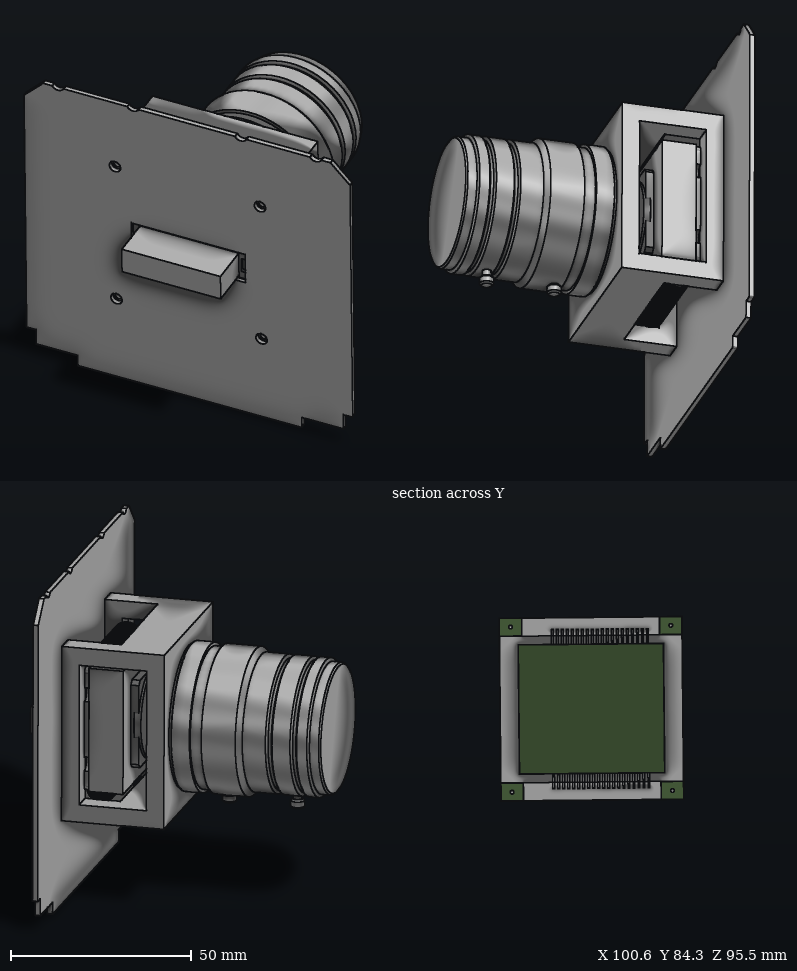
import cadquery as cq
import math

TILT = -0.58

PLATE_THICKNESS = 1.5
PLATE_HALF_WIDTH = 49.9
PLATE_TOP = 44.9
PLATE_BOTTOM = -49.8
TOP_CHAMFER = 5.9
SHOULDER_Z = -41.4
SHOULDER_HALF_WIDTH = 47.0
TAB_Z = -46.3
TAB_HALF_WIDTH = 34.3
PLATE_CORNER_RADIUS = 0.4
EDGE_NOTCH_DIAMETER = 4.0
EDGE_NOTCH_RISE = 1.0
EDGE_NOTCH_X = (-39.4, -16.5, 16.5, 39.4)
WINDOW_WIDTH = 34.9
WINDOW_HEIGHT = 9.8

SCREW_SPACING_X = 44.4
SCREW_SPACING_Z = 45.7
CLEARANCE_DIAMETER = 3.4
TAPPED_DIAMETER = 2.1
TAPPED_DEPTH = 8.0
DRILL_POINT_ANGLE = 118

HOUSING_SIDE = 50.6
HOUSING_LENGTH = 29.4
WALL = 5.0
REAR_SLOT_WIDTH = 38.0
REAR_SLOT_DEPTH = 15.2

NECK_DIAMETER = 40.8
LARGE_DIAMETER = 42.0
WAIST_DIAMETER = 39.9
BARREL_DIAMETER = 39.0
GROOVE_DIAMETER = 37.0
LENS_LENGTH = 43.0
LENS_END_CHAMFER = 0.5
NECK_END = 0.8
WAIST_START = 6.0
WAIST_END = 9.5
CONE_START = 19.2
CONE_END = 20.8
GROOVE_STARTS = (27.5, 34.5)
GROOVE_FLOOR = 0.9
GROOVE_SLOPE = 0.5
RIM_START = 39.3

THUMB_SCREW_Y = (41.3, 60.8)
STEM_DIAMETER = 2.5
HEAD_DIAMETER = 4.0
HEAD_HEIGHT = 2.6
HEAD_CHAMFER = 0.5
THUMB_SCREW_END = 23.8
STEM_TIP = 16.1

CAMERA_WIDTH = 40.2
CAMERA_HEIGHT = 35.8
CAMERA_THICKNESS = 9.9
FLANGE_WIDTH = 39.8
FLANGE_THICKNESS = 1.3
FLANGE_CORNER_RADIUS = 1.5
FLANGE_NOTCH_DIAMETER = 4.0
FLANGE_NOTCH_Z = 10.1

LEAD_WIDTH = 0.5
LEAD_THICKNESS = 0.13
LEAD_COUNT = 20
LEAD_ROW_LENGTH = 26.4
LEAD_CENTRE_X = 2.5
LEAD_BEND_RADIUS = 4.1
LEAD_BEND_Y = 8.8

HEAD_BLOCK_WIDTH = 24.4
HEAD_BLOCK_HEIGHT = 25.4
HEAD_BLOCK_THICKNESS = 2.3
HEAD_BLOCK_CHAMFER = 1.2
SENSOR_DIAMETER = 25.4
SENSOR_SEAT = 1.0
SENSOR_THICKNESS = 2.0

SOCKET_WIDTH = 35.2
SOCKET_HEIGHT = 10.3
KEY_WIDTH = 2.1
KEY_HEIGHT = 4.4
KEY_DEPTH = 1.0
KEY_RADIUS = 0.5
PLUG_WIDTH = 30.2
PLUG_HEIGHT = 7.7
PLUG_LENGTH = 11.9
PLUG_X = -0.3
PLUG_Z = -0.4


def box_along_y(width, height, start, end):
    """Box centred on the lens axis that runs from start to end along Y."""
    return cq.Workplane("XY").box(width, end - start, height).translate((0, (start + end) / 2, 0))


def cylinder_along_y(diameter, start, end, x=0, z=0):
    """Cylinder parallel to the lens axis that runs from start to end along Y."""
    axis = cq.Vector(0, 1, 0)
    return cq.Workplane(cq.Solid.makeCylinder(diameter / 2, end - start, cq.Vector(x, start, z), axis))


def screw_positions():
    return [(sx * SCREW_SPACING_X / 2, sz * SCREW_SPACING_Z / 2) for sx in (-1, 1) for sz in (-1, 1)]


def make_plate():
    right_side = [
        (TAB_HALF_WIDTH, PLATE_BOTTOM),
        (TAB_HALF_WIDTH, TAB_Z),
        (SHOULDER_HALF_WIDTH, TAB_Z),
        (SHOULDER_HALF_WIDTH, SHOULDER_Z),
        (PLATE_HALF_WIDTH, SHOULDER_Z),
        (PLATE_HALF_WIDTH, PLATE_TOP - TOP_CHAMFER),
        (PLATE_HALF_WIDTH - TOP_CHAMFER, PLATE_TOP),
    ]
    left_side = [(-x, z) for x, z in reversed(right_side)]
    plate = cq.Workplane("XZ").polyline(right_side + left_side).close().extrude(PLATE_THICKNESS)
    for x, z in ((PLATE_HALF_WIDTH, SHOULDER_Z), (TAB_HALF_WIDTH, PLATE_BOTTOM)):
        for side in (-1, 1):
            corner = cq.selectors.NearestToPointSelector((side * x, -PLATE_THICKNESS / 2, z))
            plate = plate.edges("|Y").edges(corner).fillet(PLATE_CORNER_RADIUS)

    for x in EDGE_NOTCH_X:
        notch_z = PLATE_TOP + EDGE_NOTCH_RISE
        plate = plate.cut(cylinder_along_y(EDGE_NOTCH_DIAMETER, -PLATE_THICKNESS, 0, x, notch_z))
    for x, z in screw_positions():
        plate = plate.cut(cylinder_along_y(CLEARANCE_DIAMETER, -PLATE_THICKNESS, 0, x, z))
    return plate.cut(box_along_y(WINDOW_WIDTH, WINDOW_HEIGHT, -PLATE_THICKNESS, 0))


def tapped_hole(x, z):
    """Blind drilled hole with a conical end, open at Y = 0."""
    radius = TAPPED_DIAMETER / 2
    point = radius / math.tan(math.radians(DRILL_POINT_ANGLE / 2))
    tip = cq.Solid.makeCone(radius, 0, point, cq.Vector(x, TAPPED_DEPTH, z), cq.Vector(0, 1, 0))
    return cylinder_along_y(TAPPED_DIAMETER, 0, TAPPED_DEPTH, x, z).union(cq.Workplane(tip))


def make_housing():
    housing = box_along_y(HOUSING_SIDE, HOUSING_SIDE, 0, HOUSING_LENGTH)
    inner_height = HOUSING_SIDE - 2 * WALL
    housing = housing.cut(box_along_y(HOUSING_SIDE, inner_height, WALL, HOUSING_LENGTH - WALL))
    housing = housing.cut(box_along_y(REAR_SLOT_WIDTH, HOUSING_SIDE, 0, REAR_SLOT_DEPTH))
    for x, z in screw_positions():
        housing = housing.cut(tapped_hole(x, z))
    return housing


def make_lens():
    neck, large, waist, barrel, groove = (
        diameter / 2
        for diameter in (NECK_DIAMETER, LARGE_DIAMETER, WAIST_DIAMETER, BARREL_DIAMETER, GROOVE_DIAMETER)
    )
    profile = [
        (0, 0),
        (neck, 0),
        (neck, NECK_END),
        (large, NECK_END),
        (large, WAIST_START),
        (waist, WAIST_START),
        (waist, WAIST_END),
        (large, WAIST_END),
        (large, CONE_START),
        (barrel, CONE_END),
    ]
    for start in GROOVE_STARTS:
        floor_start = start + GROOVE_SLOPE
        floor_end = floor_start + GROOVE_FLOOR
        profile += [
            (barrel, start),
            (groove, floor_start),
            (groove, floor_end),
            (barrel, floor_end + GROOVE_SLOPE),
        ]
    profile += [
        (barrel, RIM_START),
        (groove, RIM_START + GROOVE_SLOPE),
        (groove, LENS_LENGTH - LENS_END_CHAMFER),
        (groove - LENS_END_CHAMFER, LENS_LENGTH),
        (0, LENS_LENGTH),
    ]
    lens = cq.Workplane("XY").polyline(profile).close().revolve(360, (0, 0), (0, 1))
    lens = lens.translate((0, HOUSING_LENGTH, 0))
    for y in THUMB_SCREW_Y:
        lens = lens.cut(screw_stem(y))
    return lens


def screw_stem(y):
    length = THUMB_SCREW_END - HEAD_HEIGHT - STEM_TIP
    stem = cq.Workplane("XY").circle(STEM_DIAMETER / 2).extrude(length)
    return stem.translate((0, y, -STEM_TIP - length))


def make_thumb_screw(y):
    head = cq.Workplane("XY").circle(HEAD_DIAMETER / 2).extrude(HEAD_HEIGHT)
    head = head.edges().chamfer(HEAD_CHAMFER)
    return head.translate((0, y, -THUMB_SCREW_END)).union(screw_stem(y))


def bent_lead(x, side):
    """Half-ring strip standing on the top (side = 1) or bottom (side = -1) of the camera."""
    outer = LEAD_BEND_RADIUS
    inner = outer - LEAD_THICKNESS
    strip = (
        cq.Workplane("YZ")
        .moveTo(outer, 0)
        .threePointArc((0, side * outer), (-outer, 0))
        .lineTo(-inner, 0)
        .threePointArc((0, side * inner), (inner, 0))
        .close()
        .extrude(LEAD_WIDTH / 2, both=True)
    )
    return strip.translate((x, LEAD_BEND_Y, side * CAMERA_HEIGHT / 2))


def make_camera():
    flange_end = WALL + FLANGE_THICKNESS
    flange = box_along_y(FLANGE_WIDTH, CAMERA_HEIGHT, WALL, flange_end)
    flange = flange.edges("|Y").fillet(FLANGE_CORNER_RADIUS)
    for x in (-FLANGE_WIDTH / 2, FLANGE_WIDTH / 2):
        for z in (-FLANGE_NOTCH_Z, FLANGE_NOTCH_Z):
            flange = flange.cut(cylinder_along_y(FLANGE_NOTCH_DIAMETER, WALL, flange_end, x, z))
    camera = box_along_y(CAMERA_WIDTH, CAMERA_HEIGHT, flange_end, flange_end + CAMERA_THICKNESS)
    camera = camera.union(flange)

    first_x = LEAD_CENTRE_X - LEAD_ROW_LENGTH / 2
    pitch = LEAD_ROW_LENGTH / (LEAD_COUNT - 1)
    for i in range(LEAD_COUNT):
        for side in (-1, 1):
            camera = camera.union(bent_lead(first_x + i * pitch, side))
    return camera


def make_sensor_head():
    base = WALL + FLANGE_THICKNESS + CAMERA_THICKNESS
    block = box_along_y(HEAD_BLOCK_WIDTH, HEAD_BLOCK_HEIGHT, base, base + HEAD_BLOCK_THICKNESS)
    block = block.edges("|Y").chamfer(HEAD_BLOCK_CHAMFER)
    seat = base + SENSOR_SEAT
    return block.union(cylinder_along_y(SENSOR_DIAMETER, seat, seat + SENSOR_THICKNESS))


def make_socket():
    socket = box_along_y(SOCKET_WIDTH, SOCKET_HEIGHT, 0, WALL)
    key = box_along_y(KEY_WIDTH, KEY_HEIGHT, 0, KEY_DEPTH).edges("|Y and <X").fillet(KEY_RADIUS)
    return socket.cut(key.translate(((SOCKET_WIDTH - KEY_WIDTH) / 2, 0, PLUG_Z)))


def make_plug():
    return box_along_y(PLUG_WIDTH, PLUG_HEIGHT, -PLUG_LENGTH, 0).translate((PLUG_X, 0, PLUG_Z))


plate = make_plate()
housing = make_housing()
lens = make_lens()
thumb_screws = [make_thumb_screw(y) for y in THUMB_SCREW_Y]
camera = make_camera()
sensor_head = make_sensor_head()
socket = make_socket()
plug = make_plug()

bodies = [plate, housing, lens, *thumb_screws, camera, sensor_head, socket, plug]
tilted_bodies = [body.rotate((0, 0, 0), (0, 1, 0), TILT) for body in bodies]
result = cq.Compound.makeCompound([body.solids().val() for body in tilted_bodies])